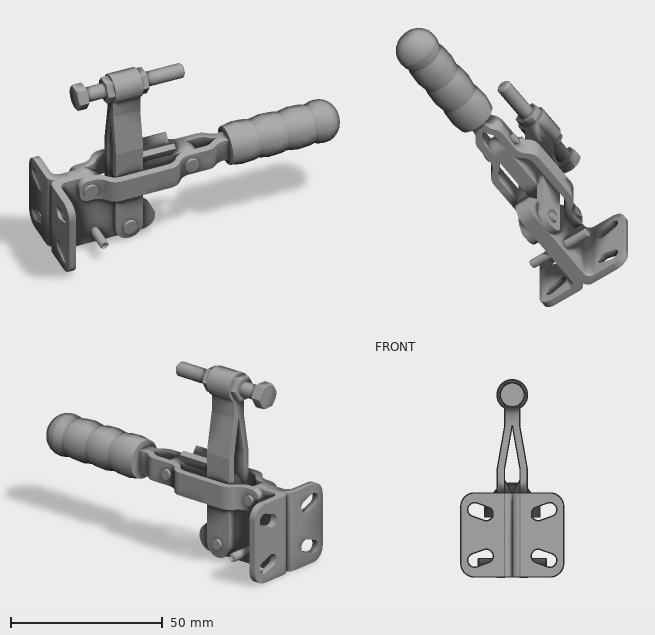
import cadquery as cq
import math


sheet = 2.5
plate_outer = 2 * sheet
pivot_z = 23.8
front_pivot_y = 12.7
rear_pivot_y = 48.7
arm_y = 26.7
arm_pivot_z = 4.7
lever_half_height = 4.0

rivet_d = 3.6
rivet_head_d = 4.9
rivet_reach = 6.0
pin_d = 3.0
pin_bore = 2.0
pin_reach = 11.3
pin_chamfer = 0.3
pin_y = 15.0

base_height = pivot_z + lever_half_height
flange_half_width = 17.0
flange_corner = 4.6
web_foot_y = 32.1
web_foot_r = 4.7
slot_r = 2.3
slot_outer_x = 12.4
slot_inner_x = 8.5
slot_outer_rise = 8.3
slot_inner_rise = 7.0

arm_width = 9.7
arm_back_y = arm_y + arm_width / 2
arm_front_y = arm_y - arm_width / 2
arm_spread_z = 35.9
arm_join_z = 50.0
hub_z = 60.0
hub_r = 5.0

lever_front_y = 9.0
lever_wide = 9.2
lever_end_round = 2.9
grip_start_y = 63.0

lever_bends = [
    (61.2, 54.8, sheet, plate_outer, -0.4),
    (47.9, 39.8, plate_outer, lever_wide, -0.4),
    (21.8, 13.7, lever_wide, plate_outer, 0.8),
]

fin_back_y = 43.3
fin_thickness = 2.0
fin_lean = 31.5
fin_length = 6.1

grip_end_y = 103.0
grip_pitch = 10.0
grip_bulges = 3
grip_waist_r = 6.6
grip_crest_r = 7.3
dome_start_y = 96.6

bolt_d = 5.0
bolt_head_y = 9.0
bolt_head_h = 3.6
bolt_tip_y = 47.7
bolt_tip_chamfer = 0.6
hex_flats = 7.8
hex_bevel_angle = 30
nut_h = 2.5


def x_cylinder(diameter, y, z, x_start, x_end):
    """Cylinder along X between two x positions."""
    return (
        cq.Workplane("YZ", origin=(x_start, 0, 0))
        .center(y, z)
        .circle(diameter / 2)
        .extrude(x_end - x_start)
    )


def y_cylinder(diameter, z, y_start, y_end):
    """Cylinder along Y on the plane of symmetry."""
    return (
        cq.Workplane("XZ", origin=(0, y_start, z))
        .circle(diameter / 2)
        .extrude(y_start - y_end)
    )


def rivet(y, z):
    """Rivet along X with its wider head outside the +X plate."""
    shank = x_cylinder(rivet_d, y, z, -rivet_reach, rivet_reach)
    head = x_cylinder(rivet_head_d, y, z, plate_outer, rivet_reach)
    return shank.union(head)


def rivet_hole(y, z):
    """Cutter for a rivet shank."""
    return x_cylinder(rivet_d, y, z, -rivet_reach, rivet_reach)


def mirrored(half):
    """Body made of one half and its mirror image across X = 0."""
    return half.union(half.mirror("YZ"))


def base_plan():
    """T shape seen from above, with rounded bends and the groove between the flanges."""
    arc_mid = sheet * (1 - math.sqrt(0.5))
    half = (
        cq.Workplane("XY")
        .moveTo(0, sheet)
        .threePointArc((arc_mid, arc_mid), (sheet, 0))
        .lineTo(flange_half_width, 0)
        .lineTo(flange_half_width, sheet)
        .lineTo(2 * sheet, sheet)
        .threePointArc((sheet + arc_mid, sheet + arc_mid), (sheet, 2 * sheet))
        .lineTo(sheet, web_foot_y + web_foot_r)
        .lineTo(0, web_foot_y + web_foot_r)
        .close()
        .extrude(base_height)
    )
    return mirrored(half)


def base_side():
    """Side outline: rounded foot, sloping back edge and round corner about the front pivot."""
    top_r = lever_half_height
    run = web_foot_y - front_pivot_y
    rise = pivot_z - web_foot_r
    tilt = math.asin((web_foot_r - top_r) / math.hypot(run, rise))
    normal = math.atan2(run, rise) - tilt
    cos_n, sin_n = math.cos(normal), math.sin(normal)
    foot_end = (web_foot_y + web_foot_r * cos_n, web_foot_r + web_foot_r * sin_n)
    top_start = (front_pivot_y + top_r * cos_n, pivot_z + top_r * sin_n)
    return (
        cq.Workplane("YZ")
        .lineTo(web_foot_y, 0)
        .threePointArc((web_foot_y + web_foot_r, web_foot_r), foot_end)
        .lineTo(*top_start)
        .tangentArcPoint((front_pivot_y, base_height), relative=False)
        .lineTo(0, base_height)
        .close()
        .extrude(flange_half_width, both=True)
    )


def flange_slot(side, level):
    """Cutter for one sloping slot; side and level are +1 or -1."""
    middle_z = base_height / 2
    outer = (side * slot_outer_x, middle_z + level * slot_outer_rise)
    inner = (side * slot_inner_x, middle_z + level * slot_inner_rise)
    length = math.dist(outer, inner) + 2 * slot_r
    angle = math.degrees(math.atan2(outer[1] - inner[1], outer[0] - inner[0]))
    return (
        cq.Workplane("XZ")
        .center((outer[0] + inner[0]) / 2, (outer[1] + inner[1]) / 2)
        .slot2D(length, 2 * slot_r, angle)
        .extrude(-sheet)
    )


def make_base():
    base = base_plan().intersect(base_side())
    base = base.faces("<X or >X").edges("|Y").fillet(flange_corner)
    for side in (-1, 1):
        for level in (-1, 1):
            base = base.cut(flange_slot(side, level))
    base = base.cut(rivet_hole(front_pivot_y, pivot_z))
    base = base.cut(rivet_hole(arm_y, arm_pivot_z))

    pin = x_cylinder(pin_d, pin_y, arm_pivot_z, -pin_reach, pin_reach)
    pin = pin.faces("<X or >X").chamfer(pin_chamfer)
    bore = x_cylinder(pin_bore, pin_y, arm_pivot_z, -pin_reach, pin_reach)
    return base.union(pin).cut(bore)


def make_arm():
    half = (
        cq.Workplane("XZ", origin=(0, arm_back_y, 0))
        .moveTo(sheet, arm_pivot_z - arm_width / 2)
        .lineTo(plate_outer, arm_pivot_z - arm_width / 2)
        .lineTo(plate_outer, arm_spread_z)
        .lineTo(sheet, arm_join_z)
        .lineTo(sheet, hub_z)
        .lineTo(0, hub_z)
        .lineTo(0, arm_join_z)
        .lineTo(sheet, arm_spread_z)
        .close()
        .extrude(arm_width)
    )
    round_foot = (
        cq.Workplane("YZ")
        .center(arm_y, (arm_pivot_z + hub_z) / 2)
        .slot2D(hub_z - arm_pivot_z + arm_width, arm_width, 90)
        .extrude(plate_outer, both=True)
    )
    arm = mirrored(half).intersect(round_foot)
    arm = arm.union(y_cylinder(2 * hub_r, hub_z, arm_front_y, arm_back_y))
    arm = arm.cut(y_cylinder(bolt_d, hub_z, arm_front_y, arm_back_y))
    return arm.union(rivet(arm_y, arm_pivot_z))


def s_bend(outline, start, end):
    """Straight run along Y to the start, then two equal arcs that step sideways to the end."""
    middle = ((start[0] + end[0]) / 2, (start[1] + end[1]) / 2)
    return (
        outline.lineTo(*start)
        .tangentArcPoint(middle, relative=False)
        .tangentArcPoint(end, relative=False)
    )


def make_lever():
    outline = cq.Workplane("XY").moveTo(sheet, grip_start_y)
    for start_y, end_y, x_before, x_after, _ in lever_bends:
        outline = s_bend(outline, (x_before, start_y), (x_after, end_y))
    outline = outline.lineTo(plate_outer, lever_front_y).lineTo(sheet, lever_front_y)

    for start_y, end_y, x_before, x_after, shift in reversed(lever_bends):
        bend_front = (x_after - sheet, end_y + shift)
        bend_back = (x_before - sheet, start_y + shift)
        outline = s_bend(outline, bend_front, bend_back)
    half = outline.lineTo(0, grip_start_y).close().extrude(lever_half_height, both=True)
    half = half.translate((0, 0, pivot_z))
    half = half.faces("<Y").edges("|X").fillet(lever_end_round)
    lever = mirrored(half)
    lever = lever.union(rivet(front_pivot_y, pivot_z))
    return lever.union(rivet(rear_pivot_y, pivot_z))


def make_link():
    length = rear_pivot_y - arm_y + 2 * lever_half_height
    bar = (
        cq.Workplane("YZ")
        .center((rear_pivot_y + arm_y) / 2, pivot_z)
        .slot2D(length, 2 * lever_half_height)
        .extrude(sheet, both=True)
    )
    lean = math.radians(fin_lean)
    along = (math.sin(lean), math.cos(lean))
    across = (math.cos(lean), -math.sin(lean))
    tip = (fin_length * along[0], base_height + fin_length * along[1])
    outer_tip = (tip[0] + fin_thickness * across[0], tip[1] + fin_thickness * across[1])
    outer_foot = (fin_thickness * across[0], base_height + fin_thickness * across[1])
    fin = (
        cq.Workplane("XZ", origin=(0, fin_back_y, 0))
        .polyline([(0, base_height), tip, outer_tip, outer_foot])
        .close()
        .extrude(fin_back_y - arm_back_y)
    )
    link = bar.union(mirrored(fin))
    return link.cut(rivet_hole(rear_pivot_y, pivot_z))


def make_grip():
    outline = cq.Workplane("XY").moveTo(0, grip_start_y).lineTo(grip_waist_r, grip_start_y)
    for index in range(grip_bulges):
        start_y = grip_start_y + index * grip_pitch
        outline = outline.threePointArc(
            (grip_crest_r, start_y + grip_pitch / 2), (grip_waist_r, start_y + grip_pitch)
        )
    last_y = grip_start_y + grip_bulges * grip_pitch
    run, rise = dome_start_y - last_y, grip_crest_r - grip_waist_r
    crest_radius = (run**2 + rise**2) / (2 * rise)
    arc_mid_y = (last_y + dome_start_y) / 2
    arc_mid_r = grip_crest_r - crest_radius + math.sqrt(crest_radius**2 - (run / 2) ** 2)
    dome_r = grip_end_y - dome_start_y
    outline = (
        outline.threePointArc((arc_mid_r, arc_mid_y), (grip_crest_r, dome_start_y))
        .tangentArcPoint((grip_crest_r - dome_r, grip_end_y), relative=False)
        .lineTo(0, grip_end_y)
        .close()
    )
    return outline.revolve(360, (0, 0, 0), (0, 1, 0)).translate((0, 0, pivot_z))


def hexagon(front_y, height):
    """Hexagonal prism along Y, its corners bevelled on the front face."""
    corner_r = hex_flats / math.sqrt(3)
    bevel = (corner_r - hex_flats / 2) * math.tan(math.radians(hex_bevel_angle))
    prism = (
        cq.Workplane("XZ", origin=(0, front_y, hub_z))
        .polygon(6, 2 * corner_r)
        .extrude(-height)
    )
    envelope = (
        cq.Workplane("XY", origin=(0, front_y, hub_z))
        .polyline([(0, 0), (hex_flats / 2, 0), (corner_r, bevel), (corner_r, height), (0, height)])
        .close()
        .revolve(360, (0, 0, 0), (0, 1, 0))
    )
    return prism.intersect(envelope)


def make_bolt():
    shank = y_cylinder(bolt_d, hub_z, bolt_head_y, bolt_tip_y).faces(">Y").chamfer(bolt_tip_chamfer)
    return shank.union(hexagon(bolt_head_y, bolt_head_h))


def make_nut(front_y):
    bore = y_cylinder(bolt_d, hub_z, front_y, front_y + nut_h)
    return hexagon(front_y, nut_h).cut(bore)


base = make_base()
arm = make_arm()
lever = make_lever()
link = make_link()
grip = make_grip()
bolt = make_bolt()
nuts = [make_nut(front_y) for front_y in (arm_front_y - nut_h, arm_back_y)]

result = cq.Compound.makeCompound([
    base.val(),
    arm.val(),
    lever.val(),
    link.val(),
    grip.val(),
    bolt.val(),
    *[nut.val() for nut in nuts],
])